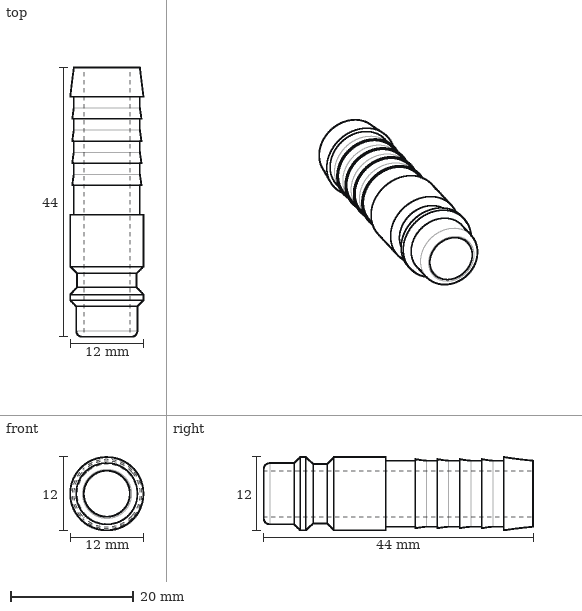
import cadquery as cq

length = 44.0
body_radius = 6.005
shank_radius = 5.4
barb_radius = 5.68
neck_radius = 4.9
tip_radius = 5.0
bore_radius = 3.75

tip_fillet = 1.0
tip_end = 4.95
collar_start = 6.0
collar_end = 6.9
neck_start = 8.1
neck_end = 10.4
body_start = 11.5
body_end = 19.98

barb_count = 4
barb_length = 1.8
barb_pitch = 2 * barb_length
end_barb_start = 39.2
barb_start = end_barb_start - barb_count * barb_pitch


def add_barb(profile, start):
    """Step out to a barb at start, then taper back to the shank."""
    return (
        profile.lineTo(shank_radius, start)
        .lineTo(barb_radius, start)
        .lineTo(shank_radius, start + barb_length)
    )


profile = (
    cq.Workplane("XY")
    .moveTo(bore_radius, 0)
    .lineTo(tip_radius - tip_fillet, 0)
    .radiusArc((tip_radius, tip_fillet), -tip_fillet)
    .lineTo(tip_radius, tip_end)
    .lineTo(body_radius, collar_start)
    .lineTo(body_radius, collar_end)
    .lineTo(neck_radius, neck_start)
    .lineTo(neck_radius, neck_end)
    .lineTo(body_radius, body_start)
    .lineTo(body_radius, body_end)
    .lineTo(shank_radius, body_end)
)

for index in range(barb_count):
    profile = add_barb(profile, barb_start + index * barb_pitch)

profile = (
    profile.lineTo(shank_radius, end_barb_start)
    .lineTo(body_radius, end_barb_start)
    .lineTo(shank_radius, length)
    .lineTo(bore_radius, length)
    .close()
)

result = profile.revolve(360, (0, 0, 0), (0, 1, 0))